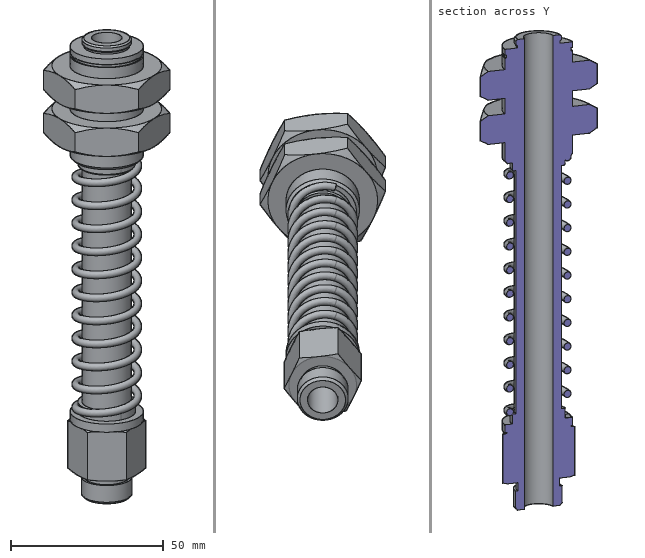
import cadquery as cq
import math

total_height = 160.5
thread_top_z = 6.7
wrench_hex_bottom_z = 9.3
flange_bottom_z = 26.8
flange_top_z = 29.7
lower_collar_top_z = 33.0
upper_collar_bottom_z = 115.7
sleeve_bottom_z = 118.5
lower_nut_bottom_z = 125.7
upper_nut_bottom_z = 140.8
sleeve_groove_bottom_z = 154.5
sleeve_groove_top_z = 155.5
sleeve_top_z = 157.6

bore_diameter = 10.0
rod_diameter = 16.2
rod_neck_diameter = 15.1
thread_diameter = 16.7
thread_neck_diameter = 15.0
collar_diameter = 19.0
sleeve_diameter = 24.0
sleeve_groove_diameter = 23.1

thread_chamfer = (thread_diameter - thread_neck_diameter) / 2
rod_chamfer = (rod_diameter - rod_neck_diameter) / 2
sleeve_chamfer = 1.0
collar_chamfer = 0.5
nut_chamfer_angle = 30.0
wrench_hex_chamfer_angle = 15.0

nut_across_flats = 36.0
nut_thickness = 10.0
wrench_hex_across_flats = 22.1

wire_diameter = 2.5
spring_mean_diameter = 20.4
spring_turns = 11
spring_pitch = (sleeve_bottom_z - flange_top_z) / spring_turns


def cylinder(diameter, bottom_z, top_z):
    """Round bar on the Z axis between two heights."""
    height = top_z - bottom_z
    return cq.Workplane("XY").workplane(offset=bottom_z).circle(diameter / 2).extrude(height)


def chamfered_hexagon(across_flats, bottom_z, top_z, chamfer_angle):
    """Hexagon with corners on X; cones starting at the inscribed circle trim its corners."""
    height = top_z - bottom_z
    corner_radius = across_flats / math.sqrt(3)
    hexagon = (
        cq.Workplane("XY").workplane(offset=bottom_z)
        .polygon(6, 2 * corner_radius).extrude(height)
    )
    face_radius = across_flats / 2
    corner_drop = (corner_radius - face_radius) * math.tan(math.radians(chamfer_angle))
    envelope = (
        cq.Workplane("XZ")
        .moveTo(0, bottom_z)
        .lineTo(face_radius, bottom_z)
        .lineTo(corner_radius, bottom_z + corner_drop)
        .lineTo(corner_radius, top_z - corner_drop)
        .lineTo(face_radius, top_z)
        .lineTo(0, top_z)
        .close()
        .revolve(360, (0, 0, 0), (0, 1, 0))
    )
    return hexagon.intersect(envelope)


def hollow_rod():
    """Central rod with a chamfered lip and a narrow neck just above the sleeve."""
    lip_bottom_z = sleeve_top_z + rod_chamfer
    neck = cylinder(rod_neck_diameter, sleeve_top_z, lip_bottom_z)
    lip = cylinder(rod_diameter, lip_bottom_z, total_height)
    lip = lip.faces("<Z or >Z").chamfer(rod_chamfer)
    return cylinder(rod_diameter, flange_top_z, sleeve_top_z).union(neck).union(lip)


def lower_fitting():
    """Threaded end, wrench hexagon, spring flange and its locating collar."""
    thread = cylinder(thread_diameter, 0, thread_top_z).faces("<Z").chamfer(thread_chamfer)
    neck = cylinder(thread_neck_diameter, thread_top_z, wrench_hex_bottom_z)
    hexagon = chamfered_hexagon(
        wrench_hex_across_flats, wrench_hex_bottom_z, flange_bottom_z, wrench_hex_chamfer_angle
    )
    flange = cylinder(sleeve_diameter, flange_bottom_z, flange_top_z)
    collar = cylinder(collar_diameter, flange_top_z, lower_collar_top_z)
    return thread.union(neck).union(hexagon).union(flange).union(collar)


def upper_sleeve():
    """Guide sleeve with a shallow groove, a lower collar and two clamping nuts."""
    body = cylinder(sleeve_diameter, sleeve_bottom_z, sleeve_groove_bottom_z)
    sleeve = body.faces("<Z").chamfer(sleeve_chamfer)
    collar = cylinder(collar_diameter, upper_collar_bottom_z, sleeve_bottom_z)
    sleeve = sleeve.union(collar.faces("<Z").chamfer(collar_chamfer))
    sleeve = sleeve.union(
        cylinder(sleeve_groove_diameter, sleeve_groove_bottom_z, sleeve_groove_top_z)
    )
    sleeve = sleeve.union(cylinder(sleeve_diameter, sleeve_groove_top_z, sleeve_top_z))
    for nut_bottom_z in (lower_nut_bottom_z, upper_nut_bottom_z):
        nut_top_z = nut_bottom_z + nut_thickness
        sleeve = sleeve.union(
            chamfered_hexagon(nut_across_flats, nut_bottom_z, nut_top_z, nut_chamfer_angle)
        )
    return sleeve


def spring_turn(bottom_z):
    """One right-handed turn of wire, starting and ending on the -X side."""
    mean_radius = spring_mean_diameter / 2
    path = cq.Wire.makeHelix(spring_pitch, spring_pitch, mean_radius)
    turn = (
        cq.Workplane("XZ").center(mean_radius, 0)
        .circle(wire_diameter / 2)
        .sweep(cq.Workplane(path), isFrenet=True)
    )
    return turn.rotate((0, 0, 0), (0, 0, 1), 180).translate((0, 0, bottom_z))


body = hollow_rod().union(lower_fitting()).union(upper_sleeve())
body = body.cut(cylinder(bore_diameter, 0, total_height))

for turn_number in range(spring_turns):
    body = body.union(spring_turn(flange_top_z + turn_number * spring_pitch))
result = body